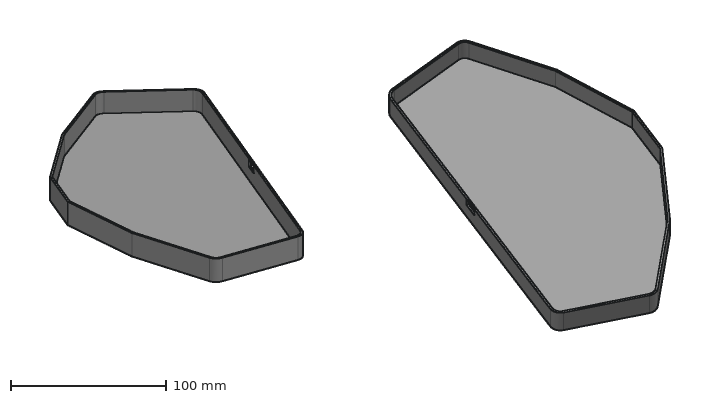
import cadquery as cq
import math

length = 252.8
depth = 131.7
height = 17.0
wall = 1.5
floor = 1.5

front_half_width = 18.7
shoulder_x = 74.3
shoulder_y = 25.8
flank_angle = math.radians(36.8)
side_lean = math.radians(14.5)
corner_radius = 7.5

slot_width = 10.0
slot_height = 5.0
slot_top_gap = 0.8

corner_turn = math.pi / 2 + side_lean - flank_angle
corner_overhang = corner_radius * (
    (math.cos(side_lean) + math.sin(flank_angle)) / (1 + math.cos(corner_turn)) - 1
)
side_x = length / 2 + corner_overhang
side_y = shoulder_y + (side_x - shoulder_x) * math.tan(flank_angle)
back_x = side_x - (depth - side_y) * math.tan(side_lean)

right_points = [
    (front_half_width, 0),
    (shoulder_x, shoulder_y),
    (side_x, side_y),
    (back_x, depth),
]
left_points = [(-x, y) for x, y in reversed(right_points)]

body = cq.Workplane("XY").polyline(right_points + left_points).close().extrude(height)
rounded_region = cq.selectors.BoxSelector(
    (-length, (shoulder_y + side_y) / 2, 0), (length, depth + wall, height)
)
body = body.edges("|Z").edges(rounded_region).fillet(corner_radius)

outer_wire = body.faces("<Z").wires().first()
pocket = (
    outer_wire.toPending()
    .offset2D(-wall, "intersection")
    .extrude(height, combine=False)
)
pocket = pocket.translate((0, 0, floor))
tray = body.cut(pocket)

slot = cq.Workplane("XY").box(slot_width, 4 * wall, slot_height)
slot = slot.translate((0, depth, height - slot_top_gap - slot_height / 2))
result = tray.cut(slot)